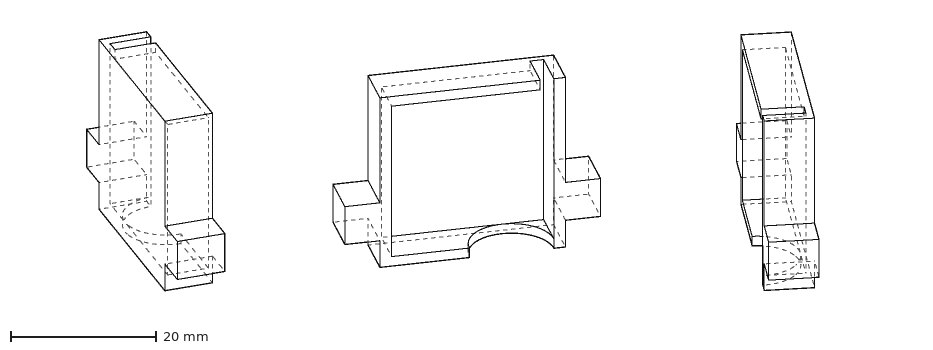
import cadquery as cq

total_width = 36.2
depth = 7.0
height = 26.2

case_width = 26.28
side_wall = 1.65
end_wall = 1.5
floor_thickness = 1.0
cavity_depth = depth - floor_thickness
cavity_width = case_width - 2 * side_wall

tab_bottom = 4.13
tab_height = 5.85

slot_width = 1.92

notch_radius = cavity_depth


def block(x, y, z, width, length, tall):
    """Box with its minimum corner at (x, y, z)."""
    return cq.Workplane("XY").box(width, length, tall, centered=False).translate((x, y, z))


cavity_left = -cavity_width / 2

case = block(-case_width / 2, 0, 0, case_width, depth, height)
tabs = block(-total_width / 2, 0, tab_bottom, total_width, depth, tab_height)
cavity = block(cavity_left, floor_thickness, end_wall, cavity_width, cavity_depth, height - 2 * end_wall)
slot = block(cavity_left, floor_thickness, height - end_wall, slot_width, cavity_depth, end_wall)
notch = (
    cq.Workplane("XY")
    .center(cavity_left + notch_radius, depth)
    .circle(notch_radius)
    .extrude(end_wall)
)

result = case.union(tabs).cut(cavity).cut(slot).cut(notch)